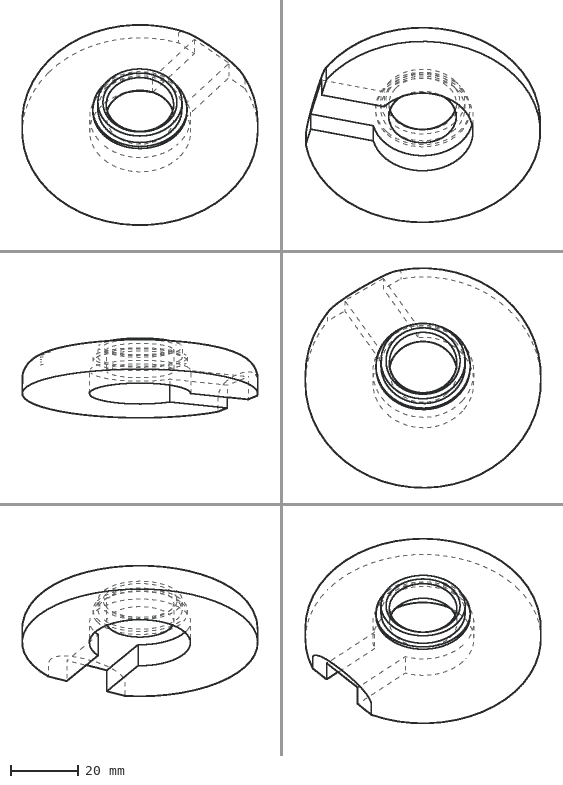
import cadquery as cq

plate_radius = 35.0
plate_height = 10.0
rim_fillet = 5.6
flat_y = 32.5

flange_radius = 14.0
flange_height = 1.0
collar_radius = 12.5
total_height = 14.2

bore_radius = 10.0
bore_chamfer = 1.0

recess_radius = 15.0
recess_depth = 7.0
slot_width = 13.6


def disc(radius, bottom, top):
    """Solid cylinder about the Z axis between two heights."""
    return cq.Workplane("XY").workplane(offset=bottom).circle(radius).extrude(top - bottom)


def make_plate():
    """Disc with a rounded upper rim, cut straight on the +Y side."""
    plate = disc(plate_radius, 0, plate_height).faces(">Z").edges().fillet(rim_fillet)
    beyond_flat = (
        cq.Workplane("XY")
        .box(2 * plate_radius, plate_radius, plate_height, centered=(True, False, False))
        .translate((0, flat_y, 0))
    )
    return plate.cut(beyond_flat)


def make_collar():
    """Low flange with a narrower collar rising through it."""
    flange = disc(flange_radius, 0, plate_height + flange_height)
    return flange.union(disc(collar_radius, 0, total_height))


def make_bore():
    """Through bore that widens in a cone at the top of the collar."""
    mouth_radius = bore_radius + bore_chamfer
    half_profile = (
        cq.Workplane("XZ")
        .lineTo(bore_radius, 0)
        .lineTo(bore_radius, total_height - bore_chamfer)
        .lineTo(mouth_radius, total_height)
        .lineTo(0, total_height)
        .close()
    )
    return half_profile.revolve(360, (0, 0, 0), (0, 1, 0))


def make_recess():
    """Round recess joined to a straight slot running to the flat."""
    slot = cq.Workplane("XY").box(slot_width, flat_y, recess_depth, centered=(True, False, False))
    return disc(recess_radius, 0, recess_depth).union(slot)


result = make_plate().union(make_collar()).cut(make_bore()).cut(make_recess())